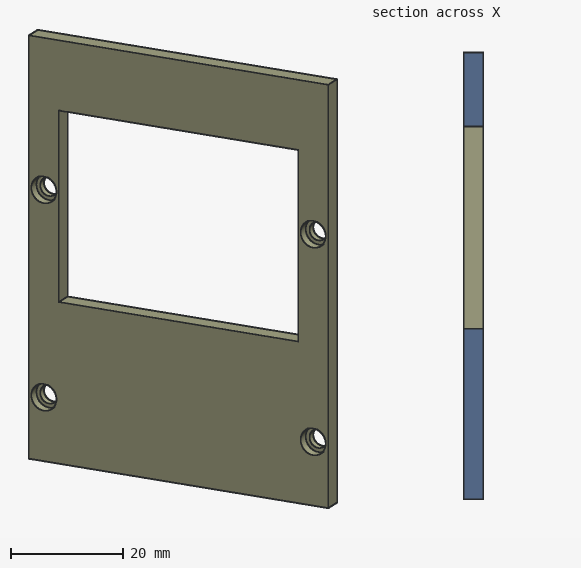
import cadquery as cq

plate_width = 60.1
plate_thickness = 3.5
plate_height = 79.7

window_width = 48.0
window_height = 36.0
window_top_margin = 13.2

hole_diameter = 3.5
counterbore_diameter = 5.0
counterbore_depth = 2.0
hole_spacing_x = 54.05
hole_spacing_z = 39.05
lower_hole_height = 12.0

front_y = -plate_thickness / 2
window_center_z = plate_height - window_top_margin - window_height / 2
hole_center_z = lower_hole_height + hole_spacing_z / 2


def front_workplane(center_z):
    """Plane on the front face, facing -Y, centred at the given height."""
    return cq.Workplane("XZ", origin=(0, front_y, center_z))


plate = cq.Workplane("XY").box(
    plate_width, plate_thickness, plate_height, centered=(True, True, False)
)

window = front_workplane(window_center_z).rect(window_width, window_height).extrude(-plate_thickness)


def hole_cutter(diameter, depth):
    """Four cylinders sunk from the front face at the screw positions."""
    return (
        front_workplane(hole_center_z)
        .rect(hole_spacing_x, hole_spacing_z, forConstruction=True)
        .vertices()
        .circle(diameter / 2)
        .extrude(-depth)
    )


result = (
    plate.cut(window)
    .cut(hole_cutter(hole_diameter, plate_thickness))
    .cut(hole_cutter(counterbore_diameter, counterbore_depth))
)